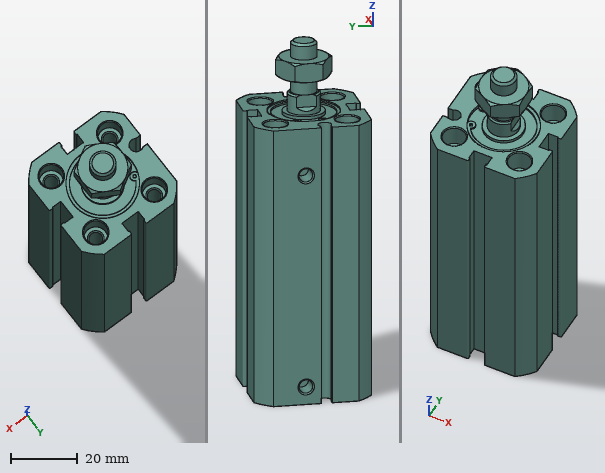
import cadquery as cq
import math

side = 36.0
half_side = side / 2
housing_height = 87.0
corner_radius = 22.2

slot_width = 6.1
slot_depth = 4.5
lip_opening = 5.5
lip_depth = 1.3
lip_radius = 0.3

groove_diameter = 4.1
groove_opening = 3.4
groove_x = -15.0
groove_y = -3.3

bolt_spacing = 22.0
bolt_diameter = 4.1
bolt_lead_in = 5.0
counterbore_diameter = 7.3
counterbore_rim = 8.0
counterbore_depth = 7.0

port_diameter = 4.1
port_rim = 5.0
port_depth = 6.5
port_y = 3.0
port_heights = (5.6, 72.2)

recess_diameter = 22.0
recess_depth = 1.0
boss_diameter = 13.0
ring_inner_diameter = 20.0
ring_thickness = 0.5
lug_diameter = 2.8
lug_hole_diameter = 1.0
lug_x = -8.9
lug_y = 4.0

total_height = 109.0
rod_diameter = 10.0
rod_engagement = rod_diameter
shoulder_height = 6.0
shoulder_chamfer = 0.5
thread_diameter = 8.0
thread_chamfer = 0.8
across_flats = 8.0
flat_start = 2.2

nut_width = 15.0
nut_height = 6.0
nut_bottom = 11.0
nut_face_diameter = nut_width
nut_bevel_angle = 30.0
hexagon_half_sector = 180 / 6


def cone(diameter_low, diameter_high, height):
    """Upright cone frustum standing on the origin."""
    profile = [(0, 0), (diameter_low / 2, 0), (diameter_high / 2, height), (0, height)]
    return cq.Workplane("XZ").polyline(profile).close().revolve(360, (0, 0), (0, 1))


def cylinder(diameter, height):
    """Upright cylinder standing on the origin."""
    return cq.Workplane("XY").circle(diameter / 2).extrude(height)


def sensor_slot():
    """Undercut slot along the +X side, with rounded lip edges."""
    inner = half_side - slot_depth
    lip = half_side - lip_depth
    half_width = slot_width / 2
    half_opening = lip_opening / 2
    round_start = half_side - lip_radius
    mouth_edge = half_opening + lip_radius
    arc_inset = lip_radius * math.sqrt(0.5)
    arc_x = round_start + arc_inset
    arc_y = mouth_edge - arc_inset
    outline = (
        cq.Workplane("XY")
        .moveTo(inner, half_width)
        .lineTo(lip, half_width)
        .lineTo(lip, half_opening)
        .lineTo(round_start, half_opening)
        .threePointArc((arc_x, arc_y), (half_side, mouth_edge))
        .lineTo(half_side, -mouth_edge)
        .threePointArc((arc_x, -arc_y), (round_start, -half_opening))
        .lineTo(lip, -half_opening)
        .lineTo(lip, -half_width)
        .lineTo(inner, -half_width)
        .close()
    )
    return outline.extrude(housing_height)


def side_groove():
    """Round groove that opens to the -X side through a narrower mouth."""
    mouth_length = half_side + groove_x
    mouth = cq.Workplane("XY").box(
        mouth_length, groove_opening, housing_height, centered=(False, True, False)
    )
    mouth = mouth.translate((-half_side, groove_y, 0))
    return cylinder(groove_diameter, housing_height).translate((groove_x, groove_y, 0)).union(mouth)


def mounting_hole():
    """Through hole with a chamfered counterbore, on the Z axis."""
    bolt_chamfer = (bolt_lead_in - bolt_diameter) / 2
    rim_chamfer = (counterbore_rim - counterbore_diameter) / 2
    floor = housing_height - counterbore_depth
    hole = cylinder(bolt_diameter, housing_height)
    hole = hole.union(cylinder(counterbore_diameter, counterbore_depth).translate((0, 0, floor)))
    lead_in = cone(bolt_diameter, bolt_lead_in, bolt_chamfer)
    hole = hole.union(lead_in.translate((0, 0, floor - bolt_chamfer)))
    rim = cone(counterbore_diameter, counterbore_rim, rim_chamfer)
    return hole.union(rim.translate((0, 0, housing_height - rim_chamfer)))


def air_port():
    """Chamfered blind hole running inward from the -X side at Y = 0, Z = 0."""
    chamfer = (port_rim - port_diameter) / 2
    hole = cylinder(port_diameter, port_depth)
    hole = hole.union(cone(port_rim, port_diameter, chamfer))
    return hole.rotate((0, 0, 0), (0, 1, 0), 90).translate((-half_side, 0, 0))


def top_recess():
    """Annular recess around the boss."""
    recess = cylinder(recess_diameter, recess_depth).cut(cylinder(boss_diameter, recess_depth))
    return recess.translate((0, 0, housing_height - recess_depth))


def retaining_ring():
    """Open ring on the recess floor, with a drilled lug at each end."""
    ring = cylinder(recess_diameter, ring_thickness).cut(cylinder(ring_inner_diameter, ring_thickness))
    gap = cq.Workplane("XY").box(
        half_side, 2 * lug_y, ring_thickness, centered=(False, True, False)
    )
    ring = ring.cut(gap.translate((-half_side, 0, 0)))
    lug_places = [(lug_x, lug_y), (lug_x, -lug_y)]
    lugs = cq.Workplane("XY").pushPoints(lug_places).circle(lug_diameter / 2).extrude(ring_thickness)
    lugs = lugs.intersect(cylinder(recess_diameter, ring_thickness))
    holes = cq.Workplane("XY").pushPoints(lug_places).circle(lug_hole_diameter / 2).extrude(ring_thickness)
    return ring.union(lugs).cut(holes).translate((0, 0, housing_height - recess_depth))


def make_housing():
    body = cq.Workplane("XY").rect(side, side).extrude(housing_height)
    body = body.intersect(cylinder(2 * corner_radius, housing_height))
    for angle in (-90, 0, 90):
        body = body.cut(sensor_slot().rotate((0, 0, 0), (0, 0, 1), angle))
    body = body.cut(side_groove())
    for x in (-bolt_spacing / 2, bolt_spacing / 2):
        for y in (-bolt_spacing / 2, bolt_spacing / 2):
            body = body.cut(mounting_hole().translate((x, y, 0)))
    for height in port_heights:
        body = body.cut(air_port().translate((0, port_y, height)))
    body = body.cut(top_recess()).union(retaining_ring())
    rod_hole = cylinder(rod_diameter, rod_engagement)
    return body.cut(rod_hole.translate((0, 0, housing_height - rod_engagement)))


def nut():
    """Hexagon nut with bevelled corners on both faces, standing on the origin."""
    corner_diameter = nut_width / math.cos(math.radians(hexagon_half_sector))
    blank = cq.Workplane("XY").polygon(6, corner_diameter).extrude(nut_height)
    blank = blank.rotate((0, 0, 0), (0, 0, 1), hexagon_half_sector)
    bevel = (corner_diameter - nut_face_diameter) / 2 * math.tan(math.radians(nut_bevel_angle))
    profile = [
        (0, 0),
        (nut_face_diameter / 2, 0),
        (corner_diameter / 2, bevel),
        (corner_diameter / 2, nut_height - bevel),
        (nut_face_diameter / 2, nut_height),
        (0, nut_height),
    ]
    envelope = cq.Workplane("XZ").polyline(profile).close().revolve(360, (0, 0), (0, 1))
    return blank.intersect(envelope)


def wrench_flat():
    """Material removed on the +X side of the rod: a flat with a 45 degree run-out below it."""
    flat = across_flats / 2
    outer = rod_diameter / 2
    profile = [
        (flat, shoulder_height),
        (flat, flat_start),
        (outer, flat_start - (outer - flat)),
        (outer, shoulder_height),
    ]
    return cq.Workplane("XZ").polyline(profile).close().extrude(outer, both=True)


def make_rod():
    """Rod and nut as one body; heights are measured from the top of the housing."""
    shoulder = cylinder(rod_diameter, rod_engagement + shoulder_height)
    shoulder = shoulder.faces(">Z").chamfer(shoulder_chamfer)
    shoulder = shoulder.translate((0, 0, -rod_engagement))
    for angle in (0, 180):
        shoulder = shoulder.cut(wrench_flat().rotate((0, 0, 0), (0, 0, 1), angle))
    thread = cylinder(thread_diameter, total_height - housing_height)
    thread = thread.faces(">Z").chamfer(thread_chamfer)
    rod = shoulder.union(thread).union(nut().translate((0, 0, nut_bottom)))
    return rod.translate((0, 0, housing_height))


housing = make_housing()
rod = make_rod()
result = cq.Compound.makeCompound([housing.val(), rod.val()])